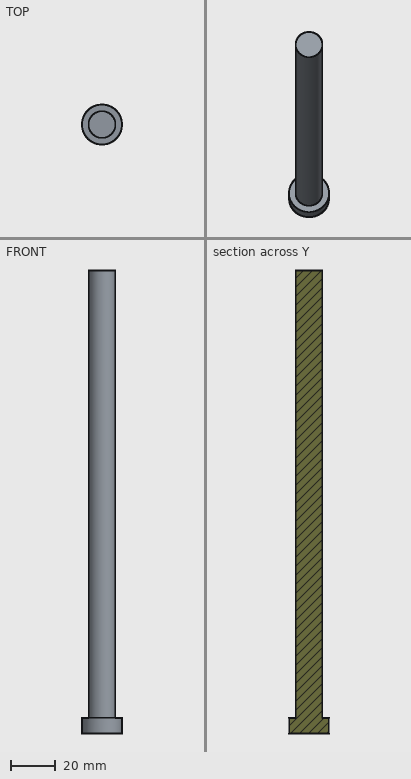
import cadquery as cq

total_length = 207.0
head_diameter = 18.0
head_height = 7.0
shaft_diameter = 12.0

shaft_length = total_length - head_height

head = cq.Workplane("XY").circle(head_diameter / 2).extrude(head_height)

result = head.faces(">Z").workplane().circle(shaft_diameter / 2).extrude(shaft_length)